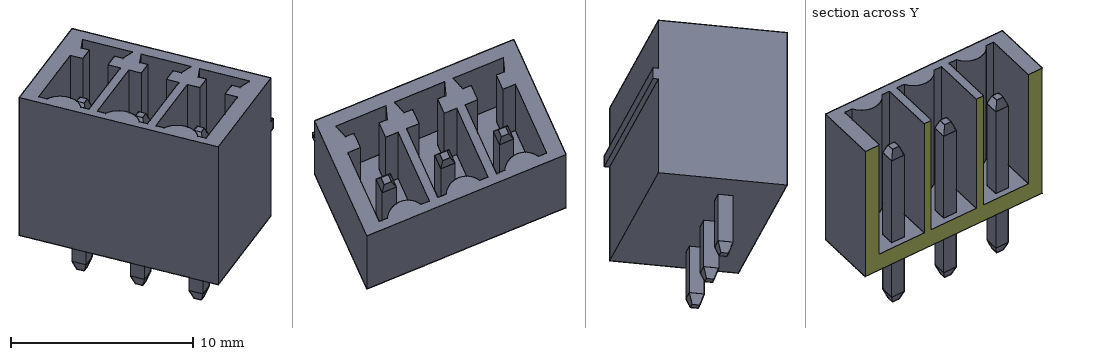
import cadquery as cq


pin_count = 3
pitch = 3.5
end_margin = 2.45
body_width = (pin_count - 1) * pitch + 2 * end_margin
body_depth = 7.25
body_height = 9.2

rib_depth = 0.3
rib_height = 0.65
rib_top_drop = 2.9

floor_thickness = 1.2
pocket_width = 3.0
pocket_front = 0.5
shoulder_y = 4.83
neck_width = 1.5
neck_end_y = 5.73
dovetail_front_width = 2.5
pocket_back = 6.5

key_chord = 2.0
key_rise = 0.6

pin_size = 0.85
pin_y = 3.0
pin_tip_size = 0.44
pin_tip_length = 0.6
pin_below = 3.4
pin_top_z = 7.8

pin_positions = [(i - (pin_count - 1) / 2) * pitch for i in range(pin_count)]


def make_housing():
    """Plain block with a locating rib across its back face."""
    block = cq.Workplane("XY").box(body_width, body_depth, body_height, centered=(True, False, False))
    rib_bottom = body_height - rib_top_drop - rib_height
    rib = (
        cq.Workplane("XY")
        .box(body_width, body_depth + rib_depth, rib_height, centered=(True, False, False))
        .translate((0, 0, rib_bottom))
    )
    return block.union(rib)


def make_pocket(x):
    """Pocket volume: wide chamber with a rounded key, then a neck and a dovetail."""
    half_width = pocket_width / 2
    half_neck = neck_width / 2
    half_dovetail = dovetail_front_width / 2
    half_chord = key_chord / 2
    return (
        cq.Workplane("XY", origin=(x, 0, floor_thickness))
        .moveTo(-half_width, pocket_front)
        .lineTo(-half_chord, pocket_front)
        .threePointArc((0, pocket_front + key_rise), (half_chord, pocket_front))
        .lineTo(half_width, pocket_front)
        .lineTo(half_width, shoulder_y)
        .lineTo(half_neck, shoulder_y)
        .lineTo(half_neck, neck_end_y)
        .lineTo(half_dovetail, neck_end_y)
        .lineTo(half_width, pocket_back)
        .lineTo(-half_width, pocket_back)
        .lineTo(-half_dovetail, neck_end_y)
        .lineTo(-half_neck, neck_end_y)
        .lineTo(-half_neck, shoulder_y)
        .lineTo(-half_width, shoulder_y)
        .close()
        .extrude(body_height - floor_thickness)
    )


def make_tip(x, z, direction):
    """Tapered pin end starting at height z; direction is +1 for up, -1 for down."""
    return (
        cq.Workplane("XY", origin=(x, pin_y, z))
        .rect(pin_size, pin_size)
        .workplane(offset=direction * pin_tip_length)
        .rect(pin_tip_size, pin_tip_size)
        .loft(ruled=True)
    )


def make_pin(x):
    """Straight square pin with a taper at both ends."""
    shank_bottom = pin_tip_length - pin_below
    shank_top = pin_top_z - pin_tip_length
    shank = (
        cq.Workplane("XY", origin=(x, pin_y, shank_bottom))
        .rect(pin_size, pin_size)
        .extrude(shank_top - shank_bottom)
    )
    return shank.union(make_tip(x, shank_top, 1)).union(make_tip(x, shank_bottom, -1))


result = make_housing()
for pin_x in pin_positions:
    result = result.cut(make_pocket(pin_x)).union(make_pin(pin_x))